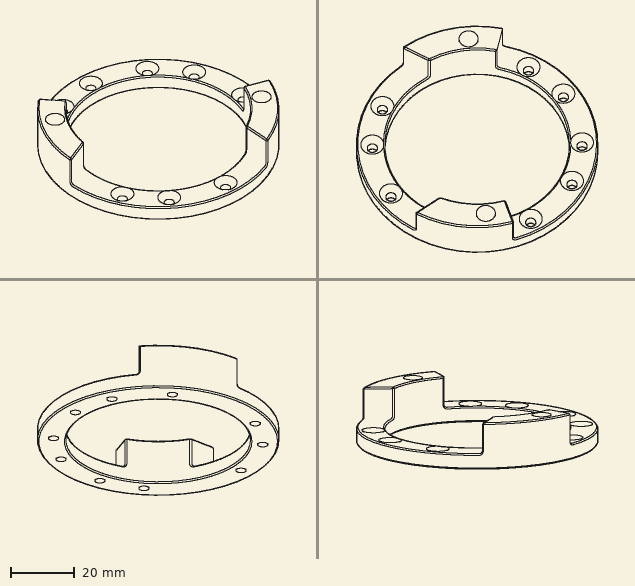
import cadquery as cq
import math

outer_radius = 38.0
inner_radius = 29.0
ring_height = 5.0
total_height = 15.0
foot_fillet = 1.0
edge_chamfer = 0.45

hole_circle_radius = 33.0
hole_diameter = 3.2
countersink_diameter = 7.2
countersink_angle = 90
ring_hole_angles = [-17, 17, 103, 137, 163, 197, 223, 317]
block_hole_angles = [77, 257]
block_bore_diameter = 6.0

slanted_end_distance = -13.8
rear_radial_end = (180, 0.0)
rear_slanted_end = (290, slanted_end_distance)
front_radial_end = (150, 0.0)
front_slanted_end = (42, slanted_end_distance)

through_margin = 0.75


def annulus(bottom, height):
    return (
        cq.Workplane("XY", origin=(0, 0, bottom))
        .circle(outer_radius)
        .circle(inner_radius)
        .extrude(height)
    )


def half_space(end):
    """Large box filling the inner side of a block end plane."""
    normal_angle, distance = end
    size = 4 * outer_radius
    return (
        cq.Workplane("XY")
        .box(size, size, size)
        .translate((distance - size / 2, 0, 0))
        .rotate((0, 0, 0), (0, 0, 1), normal_angle)
    )


def block_region(first_end, second_end, side):
    """Space kept for a block, on the rear (+1) or front (-1) side of the ring."""
    size = 4 * outer_radius
    side_half = cq.Workplane("XY").box(size, size, size).translate((0, side * size / 2, 0))
    return side_half.intersect(half_space(first_end)).intersect(half_space(second_end))


def on_end_plane(edge, end):
    normal_angle, distance = end
    angle = math.radians(normal_angle)
    points = [edge.startPoint(), edge.endPoint()]
    tolerance = 0.001
    return all(
        abs(p.x * math.cos(angle) + p.y * math.sin(angle) - distance) < tolerance
        for p in points
    )


def is_level(edge, height):
    tolerance = 0.001
    return all(abs(p.z - height) < tolerance for p in (edge.startPoint(), edge.endPoint()))


def fillet_block_feet(body):
    ends = [rear_radial_end, rear_slanted_end, front_radial_end, front_slanted_end]
    feet = [
        edge
        for edge in body.edges("%LINE").vals()
        if is_level(edge, ring_height) and any(on_end_plane(edge, end) for end in ends)
    ]
    return body.newObject(feet).fillet(foot_fillet)


def chamfer_rims(body):
    """Break the rims of both cylindrical walls and the top ends of the blocks.

    The top of the front block's radial end stays sharp.
    """
    chamfered_ends = [rear_radial_end, rear_slanted_end, front_slanted_end]
    block_tops = [
        edge
        for edge in body.edges("%LINE").vals()
        if is_level(edge, total_height)
        and any(on_end_plane(edge, end) for end in chamfered_ends)
    ]
    rims = []
    for wall in body.faces("%CYLINDER").vals():
        if wall.BoundingBox().zmin < foot_fillet:
            rims += wall.Edges()
    return body.newObject(rims + block_tops).chamfer(edge_chamfer)


def polar_point(angle):
    radians = math.radians(angle)
    return (
        hole_circle_radius * math.cos(radians),
        hole_circle_radius * math.sin(radians),
    )


def cut_screw_holes(body):
    ring_points = [polar_point(angle) for angle in ring_hole_angles]
    block_points = [polar_point(angle) for angle in block_hole_angles]
    ring_top = cq.Workplane("XY", origin=(0, 0, ring_height))
    cone_height = (countersink_diameter - hole_diameter) / 2 / math.tan(
        math.radians(countersink_angle / 2)
    )
    bore_cone_height = cone_height * (block_bore_diameter - hole_diameter) / (
        countersink_diameter - hole_diameter
    )
    cone_bottom = ring_height - cone_height

    def cone(x, y, top_diameter, height):
        return cq.Workplane(
            cq.Solid.makeCone(
                hole_diameter / 2, top_diameter / 2, height, cq.Vector(x, y, cone_bottom)
            )
        )

    shafts = ring_top.pushPoints(ring_points + block_points).circle(hole_diameter / 2)
    body = body.cut(shafts.extrude(-ring_height - through_margin))
    for x, y in ring_points:
        body = body.cut(cone(x, y, countersink_diameter, cone_height))
    for x, y in block_points:
        body = body.cut(cone(x, y, block_bore_diameter, bore_cone_height))
    bore_bottom = cone_bottom + bore_cone_height
    bores = (
        cq.Workplane("XY", origin=(0, 0, bore_bottom))
        .pushPoints(block_points)
        .circle(block_bore_diameter / 2)
        .extrude(total_height)
    )
    return body.cut(bores)


rear_region = block_region(rear_radial_end, rear_slanted_end, 1)
front_region = block_region(front_radial_end, front_slanted_end, -1)
gaps = annulus(ring_height, total_height).cut(rear_region).cut(front_region)
result = annulus(0, total_height).cut(gaps)
result = fillet_block_feet(result)
result = chamfer_rims(result)
result = cut_screw_holes(result)